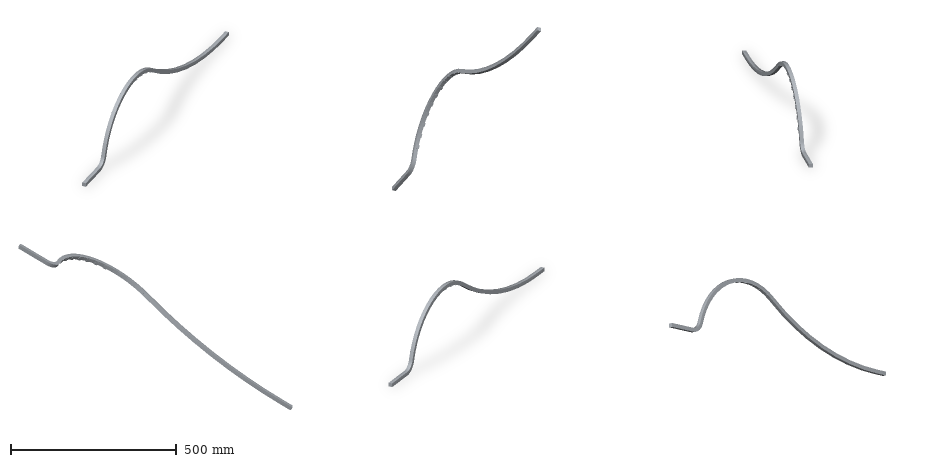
import cadquery as cq
import math

length = 1000.0
height = 200.0
bar_width = 12.0
bar_thickness = 12.0

tail_length = 38.0
foot_length = 100.0
sweep_radius = 870.0
hump_radius = 220.0

base_z = bar_thickness / 2
tail_end = (length / 2, base_z)
sweep_start = (length / 2 - tail_length, base_z)
foot_start = (foot_length - length / 2, base_z)
foot_end = (-length / 2, base_z)

sweep_center = (sweep_start[0], base_z + sweep_radius)

hump_center_z = height - bar_thickness / 2 - hump_radius
hump_drop = sweep_center[1] - hump_center_z
hump_center_y = sweep_center[0] - math.sqrt((sweep_radius + hump_radius) ** 2 - hump_drop**2)
hump_center = (hump_center_y, hump_center_z)

bend_dy = hump_center[0] - foot_start[0]
bend_dz = hump_center[1] - base_z
bend_radius = (bend_dy**2 + bend_dz**2 - hump_radius**2) / (2 * (hump_radius + bend_dz))
bend_center = (foot_start[0], base_z + bend_radius)


def point_toward(start, end, distance):
    """Point at the given distance from start on the line to end."""
    fraction = distance / math.dist(start, end)
    return tuple(a + (b - a) * fraction for a, b in zip(start, end))


sweep_to_hump = point_toward(hump_center, sweep_center, hump_radius)
hump_to_bend = point_toward(hump_center, bend_center, hump_radius)

centreline = (
    cq.Workplane("YZ")
    .moveTo(*tail_end)
    .lineTo(*sweep_start)
    .tangentArcPoint(sweep_to_hump, relative=False)
    .tangentArcPoint(hump_to_bend, relative=False)
    .tangentArcPoint(foot_start, relative=False)
    .lineTo(*foot_end)
)

bar = (
    cq.Workplane("XZ", origin=(0, tail_end[0], tail_end[1]))
    .rect(bar_width, bar_thickness)
    .sweep(centreline)
)

pad_size = 12.0
pad_thickness = 2.0
pad_overhang = 2.0
pad_count = 11
pads_toward_plus_x = 4
first_pad_angle = 28.0
pad_pitch = 9.2

underside_radius = hump_radius - bar_thickness / 2
pad_offset = bar_width / 2 + pad_overhang - pad_size / 2


def make_pad(side, tilt):
    """Pad shifted to one side in X and tilted from the crest toward +Y, in degrees."""
    return (
        cq.Workplane("XY")
        .box(pad_size, pad_size, pad_thickness)
        .translate((side * pad_offset, 0, underside_radius))
        .rotate((0, 0, 0), (1, 0, 0), -tilt)
        .translate((0, hump_center[0], hump_center[1]))
    )


result = bar
for index in range(pad_count):
    pad_side = 1 if index < pads_toward_plus_x else -1
    result = result.union(make_pad(pad_side, first_pad_angle - index * pad_pitch))